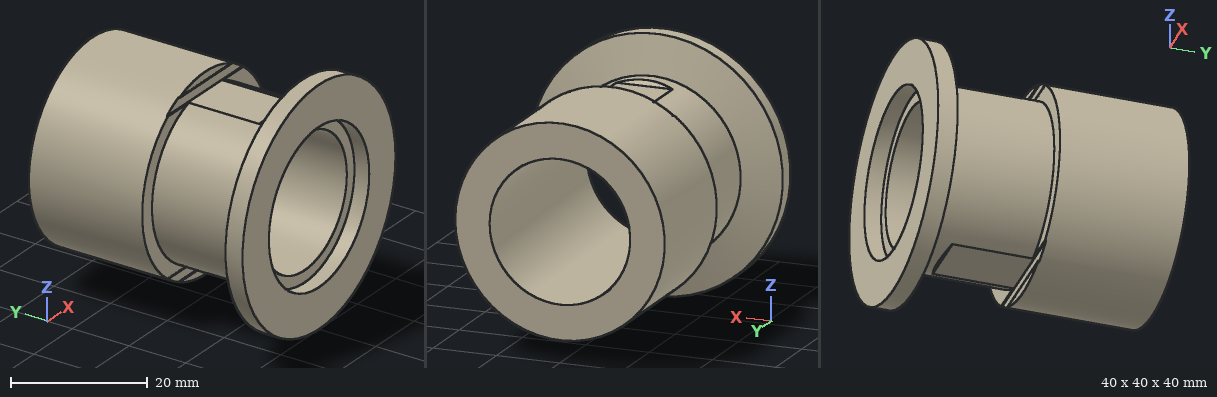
import cadquery as cq
import math

length = 40.0
front_y = -length / 2

flange_radius = 40.0 / 2
flange_rim_width = 3.0
flange_back_angle = 15.0
neck_radius = 28.0 / 2
collar_radius = 33.1 / 2
collar_length = 20.0

bore_radius = 22.2 / 2
seat_radius = 26.2 / 2
seat_depth = 2.6

flat_height = 13.3
flat_start = 7.55
flat_relief_height = 15.05
collar_relief_depth = 0.15
tool_width = 40.0

rim_y = front_y + flange_rim_width
cone_length = (flange_radius - neck_radius) * math.tan(math.radians(flange_back_angle))
neck_y = rim_y + cone_length
collar_y = length / 2 - collar_length
seat_y = front_y + seat_depth


def turned_body():
    """Revolve the half section, including the bore and its seat."""
    return (
        cq.Workplane("XY")
        .moveTo(seat_radius, front_y)
        .lineTo(flange_radius, front_y)
        .lineTo(flange_radius, rim_y)
        .lineTo(neck_radius, neck_y)
        .lineTo(neck_radius, collar_y)
        .lineTo(collar_radius, collar_y)
        .lineTo(collar_radius, length / 2)
        .lineTo(bore_radius, length / 2)
        .lineTo(bore_radius, seat_y)
        .lineTo(seat_radius, seat_y)
        .close()
        .revolve(360, (0, 0, 0), (0, 1, 0))
    )


def upper_flat_cutter():
    """Flat cut with a 45 degree run-out that also bites into the collar face."""
    start_y = front_y + flat_start
    end_y = collar_y + collar_relief_depth
    run_out = flat_relief_height - flat_height
    return (
        cq.Workplane("YZ")
        .moveTo(start_y, flat_height)
        .lineTo(end_y, flat_height)
        .lineTo(end_y, flat_relief_height)
        .lineTo(start_y - run_out, flat_relief_height)
        .close()
        .extrude(tool_width / 2, both=True)
    )


upper_cutter = upper_flat_cutter()
lower_cutter = upper_cutter.mirror("XY")
result = turned_body().cut(upper_cutter).cut(lower_cutter)